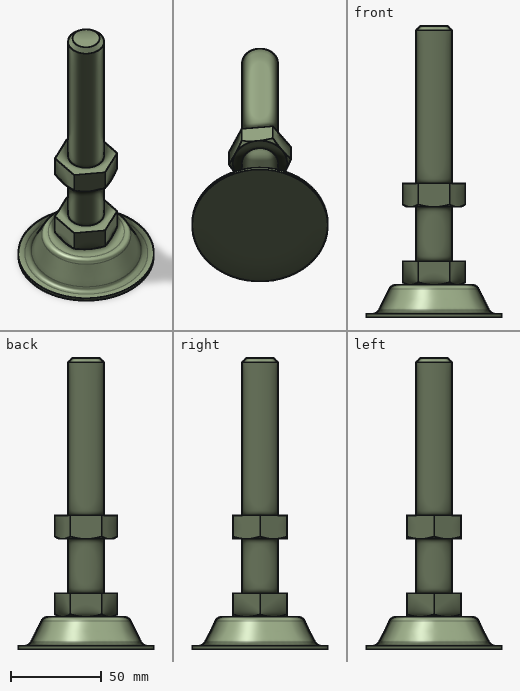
import cadquery as cq
import math

rim_diameter = 75.0
rim_thickness = 2.0
foot_height = 18.0
crown_radius = 23.5
skirt_radius = 31.5
bend_radius = 4.0

stud_diameter = 20.0
stud_chamfer = 2.5
overall_height = 161.0

nut_width = 30.0
nut_height = 13.0
nut_chamfer_angle = 30.0
nut_gap = 30.0
lock_nut_base = foot_height
upper_nut_base = lock_nut_base + nut_height + nut_gap


def make_foot():
    """Revolved foot, with rounded crown and skirt."""
    cone_angle = math.atan2(foot_height - rim_thickness, skirt_radius - crown_radius)
    bend_length = bend_radius * math.tan(cone_angle / 2)
    run = bend_length * math.cos(cone_angle)
    drop = bend_length * math.sin(cone_angle)

    crown_edge = (crown_radius - bend_length, foot_height)
    cone_top = (crown_radius + run, foot_height - drop)
    cone_bottom = (skirt_radius - run, rim_thickness + drop)
    skirt_edge = (skirt_radius + bend_length, rim_thickness)
    rim_radius = rim_diameter / 2

    return (
        cq.Workplane("XZ")
        .lineTo(rim_radius, 0)
        .lineTo(rim_radius, rim_thickness)
        .lineTo(*skirt_edge)
        .radiusArc(cone_bottom, bend_radius)
        .lineTo(*cone_top)
        .radiusArc(crown_edge, -bend_radius)
        .lineTo(0, foot_height)
        .close()
        .revolve(360, (0, 0), (0, 1))
    )


def make_stud():
    """Round stud standing on the foot, chamfered at its top end."""
    return (
        cq.Workplane("XY", origin=(0, 0, foot_height))
        .circle(stud_diameter / 2)
        .extrude(overall_height - foot_height)
        .faces(">Z")
        .chamfer(stud_chamfer)
    )


def make_nut(base_height):
    """Hex nut with corners on the X axis, and a conical chamfer around its lower end."""
    flat_radius = nut_width / 2
    corner_radius = flat_radius / math.cos(math.pi / 6)
    chamfer_rise = (corner_radius - flat_radius) * math.tan(math.radians(nut_chamfer_angle))

    hexagon = cq.Workplane("XY").polygon(6, 2 * corner_radius).extrude(nut_height)
    chamfer_envelope = (
        cq.Workplane("XZ")
        .lineTo(flat_radius, 0)
        .lineTo(corner_radius, chamfer_rise)
        .lineTo(corner_radius, nut_height)
        .lineTo(0, nut_height)
        .close()
        .revolve(360, (0, 0), (0, 1))
    )
    bore = cq.Workplane("XY").circle(stud_diameter / 2).extrude(nut_height)
    return hexagon.intersect(chamfer_envelope).cut(bore).translate((0, 0, base_height))


foot = make_foot()
stud = make_stud()
nuts = [make_nut(base_height) for base_height in (lock_nut_base, upper_nut_base)]

result = cq.Compound.makeCompound([foot.val(), stud.val(), *[nut.val() for nut in nuts]])